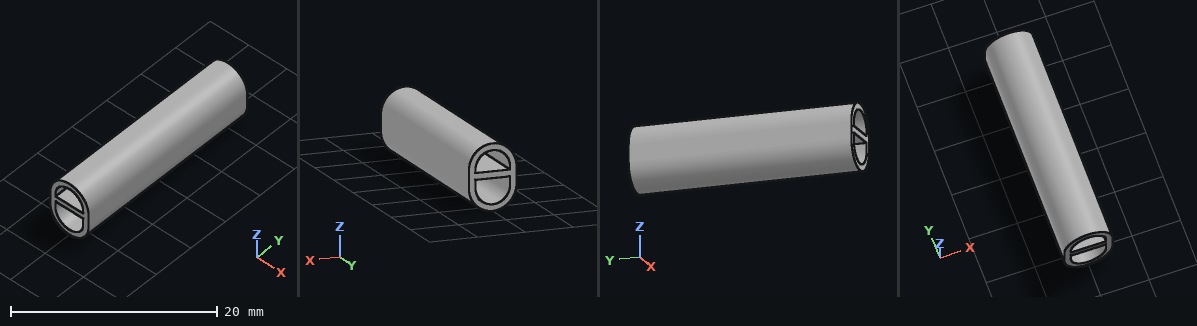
import cadquery as cq

length = 23.0
width = 5.0
height = 6.8

wall = 0.7
web_thickness = 0.7
web_offset = 0.25


def stadium_bar(bar_width, bar_height):
    """Solid bar along Y with an upright stadium section, centred on the origin."""
    return (
        cq.Workplane("XZ")
        .slot2D(bar_height, bar_width, 90)
        .extrude(length / 2, both=True)
    )


bore_width = width - 2 * wall
bore_height = height - 2 * wall
outer = stadium_bar(width, height)
bore = stadium_bar(bore_width, bore_height)

web = cq.Workplane("XY").box(bore_width, length, web_thickness).translate((0, 0, web_offset))

result = outer.cut(bore.cut(web))